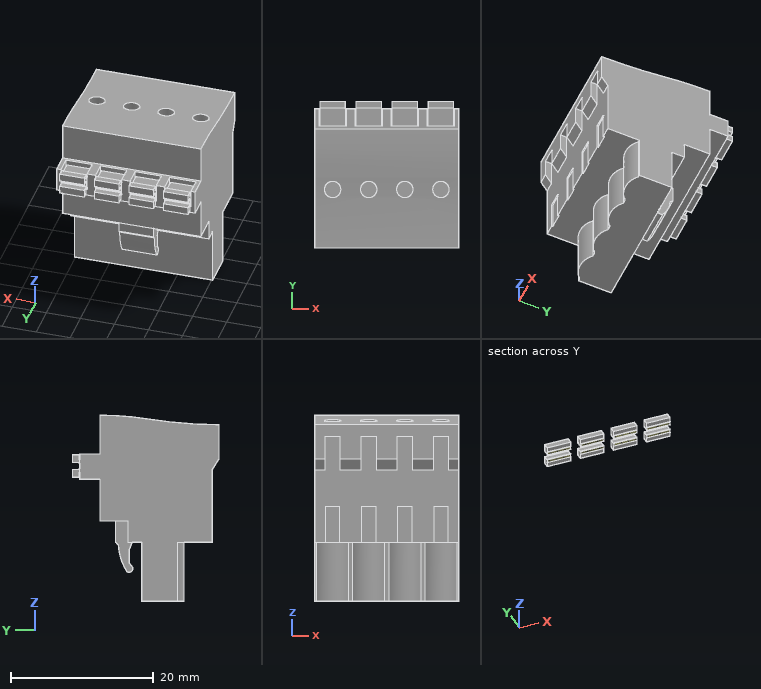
import cadquery as cq
import math


poles = 4
pitch = 5.08
row_length = poles * pitch
pole_xs = [(i - (poles - 1) / 2) * pitch for i in range(poles)]

total_height = 26.24
front_top_z = 24.90
back_y = 16.77
front_step = 0.95
lip_bottom_z = 20.06
lip_root_z = 18.54
body_bottom_z = 8.33
back_step_y = 12.83
back_step_z = 11.32
top_bend_y = 9.88

plug_back_y = 10.90
plug_front_y = 5.85
bulge_rise = 0.95
bulge_width = 4.50

block_back_y = 19.63
block_bottom_z = 17.18
block_top_z = 20.78

button_width = 3.62
button_front_y = 17.16
button_back_y = 20.64
button_tip_y = 19.71
arm_bottom_z = 18.17
arm_top_z = 19.98
tip_bottom_z = 17.47
tip_top_z = 20.68
tip_gap = 0.93
arm_gap = 0.73
pocket_clearance = 0.11

lip_slot_width = 2.13
lip_slot_top_z = 23.25
groove_width = 2.00
groove_top_z = 13.37
groove_depth = 0.17
hole_diameter = 2.30
hole_y = 8.25
hole_floor_z = 23.90

latch_width = pitch
latch_back_y = 14.58
latch_shoulder_y = 14.19
latch_shoulder_z = 7.92
latch_front_y = 12.63
latch_root_y = 12.20
latch_root_drop = 1.05
latch_bend_y = 13.61
latch_bend_z = 5.39
latch_neck_z = 5.44
knob_y = 12.66
knob_z = 4.62
knob_radius = 0.53
knob_start_angle = 50
knob_end_angle = 230


def box(x_center, width, y_range, z_range):
    """Box centred on x_center, between two Y and two Z positions."""
    y0, y1 = y_range
    z0, z1 = z_range
    return (
        cq.Workplane("XY")
        .box(width, y1 - y0, z1 - z0, centered=(True, False, False))
        .translate((x_center, y0, z0))
    )


def make_body():
    """Main block: S-shaped top made of two tangent arcs, lip at the front, step at the lower back."""
    top_drop = total_height - front_top_z
    chord_angle = math.atan2(top_drop, back_y)
    top_bend_z = front_top_z + top_drop * top_bend_y / back_y

    def arc_middle(length, height):
        """Half-way point of an arc that is level at its start, measured from that start."""
        radius = math.hypot(length, height) / (2 * math.sin(chord_angle))
        return radius * math.sin(chord_angle), radius * (1 - math.cos(chord_angle))

    front_run, front_rise = arc_middle(top_bend_y, top_bend_z - front_top_z)
    back_run, back_fall = arc_middle(back_y - top_bend_y, total_height - top_bend_z)
    return (
        cq.Workplane("YZ")
        .moveTo(0, lip_bottom_z)
        .lineTo(0, front_top_z)
        .threePointArc((front_run, front_top_z + front_rise), (top_bend_y, top_bend_z))
        .threePointArc((back_y - back_run, total_height - back_fall), (back_y, total_height))
        .lineTo(back_y, back_step_z)
        .lineTo(back_step_y, back_step_z)
        .lineTo(back_step_y, body_bottom_z)
        .lineTo(front_step, body_bottom_z)
        .lineTo(front_step, lip_root_z)
        .close()
        .extrude(row_length / 2, both=True)
    )


def make_plug():
    """Plug below the body, with one round front per pole."""
    flat_half = (pitch - bulge_width) / 2
    outline = (
        cq.Workplane("XY")
        .moveTo(-row_length / 2, plug_back_y)
        .lineTo(-row_length / 2, plug_front_y)
    )
    for x in pole_xs:
        outline = (
            outline.lineTo(x - pitch / 2 + flat_half, plug_front_y)
            .threePointArc((x, plug_front_y - bulge_rise), (x + bulge_width / 2, plug_front_y))
        )
    return (
        outline.lineTo(row_length / 2, plug_front_y)
        .lineTo(row_length / 2, plug_back_y)
        .close()
        .extrude(body_bottom_z)
    )


def knob_point(angle):
    """Point on the round latch tip; 0 degrees is straight to the back and the angle grows downwards."""
    a = math.radians(angle)
    return knob_y + knob_radius * math.cos(a), knob_z - knob_radius * math.sin(a)


def make_latch():
    """Curved latch, centred on the row, below the step at the back of the body."""
    return (
        cq.Workplane("YZ")
        .moveTo(back_step_y, back_step_z)
        .lineTo(latch_back_y, back_step_z)
        .lineTo(latch_back_y, body_bottom_z)
        .lineTo(latch_shoulder_y, latch_shoulder_z)
        .threePointArc((latch_bend_y, latch_bend_z), knob_point(knob_start_angle))
        .threePointArc(knob_point((knob_start_angle + knob_end_angle) / 2), knob_point(knob_end_angle))
        .lineTo(latch_front_y, latch_neck_z)
        .lineTo(latch_front_y, body_bottom_z - latch_root_drop)
        .lineTo(latch_root_y, body_bottom_z)
        .lineTo(back_step_y, body_bottom_z)
        .close()
        .extrude(latch_width / 2, both=True)
    )


def make_housing():
    """Body, plug, button block and latch in one piece, with the openings of every pole cut out."""
    block = box(0, row_length, (back_step_y, block_back_y), (block_bottom_z, block_top_z))
    housing = make_body().union(make_plug()).union(block).union(make_latch())
    pocket_width = button_width + 2 * pocket_clearance
    for x in pole_xs:
        button_pocket = box(x, pocket_width, (button_front_y, block_back_y), (arm_bottom_z, block_top_z))
        lip_slot = box(x, lip_slot_width, (0, front_step), (lip_root_z, lip_slot_top_z))
        groove = box(
            x, groove_width, (front_step, front_step + groove_depth), (body_bottom_z, groove_top_z)
        )
        hole = (
            cq.Workplane("XY", origin=(x, hole_y, hole_floor_z))
            .circle(hole_diameter / 2)
            .extrude(total_height - hole_floor_z)
        )
        housing = housing.cut(button_pocket).cut(lip_slot).cut(groove).cut(hole)
    return housing


def make_button(x):
    """Release button: an arm lying in its pocket, ending in two thicker tips behind the block."""
    mid_z = (tip_bottom_z + tip_top_z) / 2
    arm = box(x, button_width, (button_front_y, button_tip_y), (arm_bottom_z, arm_top_z))
    tips = box(x, button_width, (button_tip_y, button_back_y), (tip_bottom_z, tip_top_z))
    tip_slot = box(
        x, button_width, (button_tip_y, button_back_y), (mid_z - tip_gap / 2, mid_z + tip_gap / 2)
    )
    arm_slot = box(
        x, button_width, (block_back_y, button_tip_y), (mid_z - arm_gap / 2, mid_z + arm_gap / 2)
    )
    return arm.union(tips).cut(tip_slot).cut(arm_slot)


housing = make_housing()
buttons = [make_button(x) for x in pole_xs]

result = cq.Compound.makeCompound([housing.val(), *[button.val() for button in buttons]])